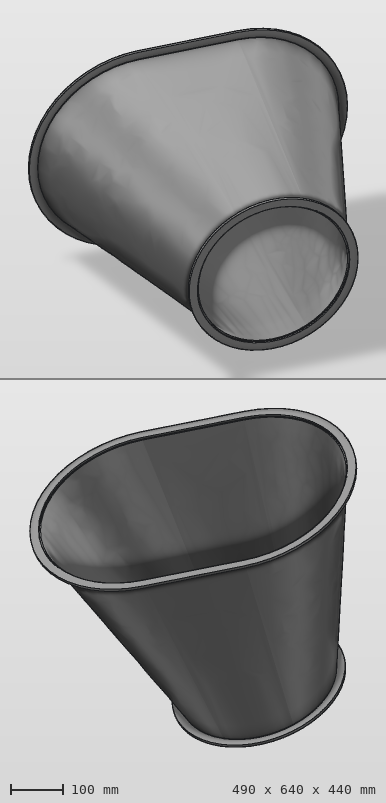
import cadquery as cq
import math

length = 490.0
oval_flange_width = 640.0
oval_flange_height = 440.0
round_flange_diameter = 340.0
flange_thickness = 6.0

wall = 3.0
end_recess = 4.0
round_bore_diameter = 300.0
oval_bore_height = 400.0
straight_length = oval_flange_width - oval_flange_height
flat_half_angle = math.atan2(straight_length / 2, oval_bore_height / 2)


def sectioned_wire(x, radius, arc_center_y, half_angle):
    """Closed YZ wire: top and bottom sections joined by side arcs, with a seam on the +Y side.

    A zero arc_center_y gives a circle; otherwise the top and bottom sections are straight.
    """
    def point(angle, side):
        return cq.Vector(x, side * (arc_center_y + radius * math.sin(angle)), radius * math.cos(angle))

    def arc(start_angle, end_angle, side):
        middle_angle = (start_angle + end_angle) / 2
        return cq.Edge.makeThreePointArc(
            point(start_angle, side), point(middle_angle, side), point(end_angle, side)
        )

    def bridge(start_angle, middle_angle, start_side):
        start = point(start_angle, start_side)
        end = point(start_angle, -start_side)
        if arc_center_y > 0:
            return cq.Edge.makeLine(start, end)
        return cq.Edge.makeThreePointArc(start, point(middle_angle, start_side), end)

    top = half_angle
    seam = math.pi / 2
    bottom = math.pi - half_angle
    return cq.Wire.assembleEdges([
        arc(seam, bottom, 1),
        bridge(bottom, math.pi, 1),
        arc(bottom, top, -1),
        bridge(top, 0, -1),
        arc(top, seam, 1),
    ])


def transition_solid(offset):
    """Solid oval-to-round transition, offset outward from the bore."""
    oval_end = sectioned_wire(end_recess, oval_bore_height / 2 + offset, straight_length / 2, 0)
    round_end = sectioned_wire(length - end_recess, round_bore_diameter / 2 + offset, 0, flat_half_angle)
    return cq.Workplane(cq.Solid.makeLoft([oval_end, round_end], True))


duct_envelope = transition_solid(wall)
duct = duct_envelope.cut(transition_solid(0))


def make_oval_flange():
    """Flat oval ring fitted around the wide end of the duct."""
    plate = (
        cq.Workplane("YZ")
        .slot2D(oval_flange_width, oval_flange_height)
        .extrude(flange_thickness)
    )
    opening_height = oval_bore_height + 2 * wall
    opening = (
        cq.Workplane("YZ")
        .slot2D(opening_height + straight_length, opening_height)
        .extrude(flange_thickness)
    )
    return plate.cut(opening)


def make_round_flange():
    """Flat round ring around the narrow end, its hole flared where the tapered duct enters."""
    plate = (
        cq.Workplane("YZ", origin=(length - flange_thickness, 0, 0))
        .circle(round_flange_diameter / 2)
        .circle(round_bore_diameter / 2 + wall)
        .extrude(flange_thickness)
    )
    return plate.cut(duct_envelope)


oval_flange = make_oval_flange()
round_flange = make_round_flange()

result = cq.Compound.makeCompound([
    duct.solids().val(),
    oval_flange.solids().val(),
    round_flange.solids().val(),
])